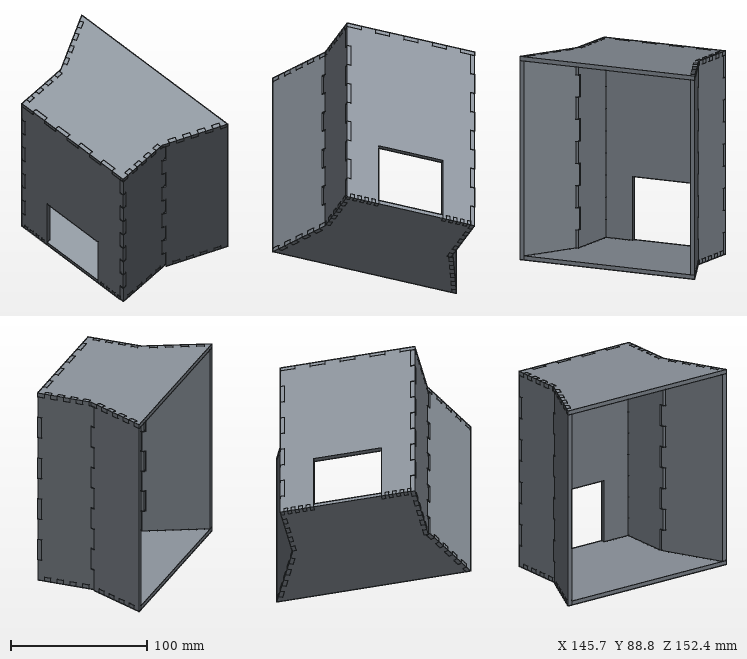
import cadquery as cq
import math

height = 152.4
depth = 88.8
back_width = 145.7
throat_width = 101.2
throat_depth = 42.0
sheet = 3.2

door_width = 50.7
door_top = 50.9

fingers = 9
EVEN = range(0, fingers, 2)
ODD = range(1, fingers, 2)

throat_x = throat_width / 2
back_x = back_width / 2
door_x = door_width / 2
flare_run = depth - throat_depth
flare_angle = math.degrees(math.atan2(back_x - throat_x, flare_run))
flare_length = math.hypot(back_x - throat_x, flare_run)
top_underside = height - sheet

LEFT = -1
RIGHT = 1

cheek_front = {LEFT: 0, RIGHT: 0.3}
cheek_back = {side: front + throat_depth + sheet for side, front in cheek_front.items()}


def box_between(x_span, y_span, z_span):
    """Box filling the given spans along X, Y and Z."""
    size = [span[1] - span[0] for span in (x_span, y_span, z_span)]
    corner = (x_span[0], y_span[0], z_span[0])
    return cq.Workplane("XY").box(*size, centered=False).translate(corner)


def on_side(side, left_shape):
    """Place a shape modelled for the left side on the wanted side."""
    return left_shape if side == LEFT else left_shape.mirror("YZ")


def front_block(x_span, z_span):
    """Block of sheet in the front panel."""
    return box_between(x_span, (0, sheet), z_span)


def cheek_block(side, y_span, z_span):
    """Block of sheet in a straight side panel, placed by its distance from the front."""
    block = box_between((-throat_x, sheet - throat_x), y_span, z_span)
    return on_side(side, block)


def flare_block(side, run_span, z_span):
    """Block of sheet in a flared side panel, placed by its distance along the slope from the bend."""
    block = box_between((0, sheet), run_span, z_span)
    block = block.rotate((0, 0, 0), (0, 0, 1), flare_angle)
    return on_side(side, block.translate((-throat_x, throat_depth, 0)))


def finger_spans(start, stop, chosen):
    """Spans of the chosen fingers on a joint line from start to stop."""
    pitch = (stop - start) / fingers
    return [(start + i * pitch, start + (i + 1) * pitch) for i in chosen]


def cheek_spans(side, start, chosen):
    """Spans of the chosen fingers along a straight side panel, from start to its back tabs."""
    return finger_spans(start, cheek_back[side], chosen)


def cut_all(body, cutters):
    """Remove every cutter from the body."""
    for cutter in cutters:
        body = body.cut(cutter)
    return body


def plate(z_bottom):
    """Uncut top or bottom plate."""
    outline = [
        (-throat_x, 0),
        (throat_x, 0),
        (throat_x, throat_depth),
        (back_x, depth),
        (-back_x, depth),
        (-throat_x, throat_depth),
    ]
    return cq.Workplane("XY").workplane(offset=z_bottom).polyline(outline).close().extrude(sheet)


def make_top_plate():
    level = (top_underside, height)
    notches = [front_block(span, level) for span in finger_spans(-throat_x, throat_x, ODD)]
    for side in (LEFT, RIGHT):
        notches += [cheek_block(side, span, level) for span in cheek_spans(side, cheek_front[side], ODD)]
        notches += [flare_block(side, span, level) for span in finger_spans(0, flare_length, ODD)]
    return cut_all(plate(top_underside), notches)


def make_bottom_plate():
    level = (0, sheet)
    front_spans = finger_spans(-throat_x, -door_x, EVEN) + finger_spans(door_x, throat_x, EVEN)
    notches = [front_block(span, level) for span in front_spans]
    notches += [cheek_block(LEFT, span, level) for span in cheek_spans(LEFT, sheet, ODD)]
    notches += [flare_block(LEFT, span, level) for span in finger_spans(0, flare_length, ODD)]
    notches += [cheek_block(RIGHT, span, level) for span in cheek_spans(RIGHT, cheek_front[RIGHT], EVEN)]
    notches += [flare_block(RIGHT, span, level) for span in finger_spans(sheet, flare_length, EVEN)]
    notches.append(flare_block(RIGHT, (0, sheet), level))
    return cut_all(plate(0), notches)


front_joint = {
    LEFT: finger_spans(0, top_underside, ODD),
    RIGHT: finger_spans(0, top_underside, EVEN),
}
bend_joint = {
    LEFT: finger_spans(sheet, top_underside, ODD),
    RIGHT: finger_spans(0, top_underside, EVEN),
}


def make_cheek(side, plates):
    cheek = cheek_block(side, (sheet, throat_depth), (0, height))
    for z_span in front_joint[side]:
        cheek = cheek.union(cheek_block(side, (cheek_front[side], sheet), z_span))
    for z_span in bend_joint[side]:
        cheek = cheek.union(cheek_block(side, (throat_depth, cheek_back[side]), z_span))
    return cut_all(cheek, plates)


def make_flare(side, plates):
    past_back = flare_length + sheet
    flare = flare_block(side, (0, past_back), (0, height))
    flare = flare.cut(box_between((-back_width, back_width), (depth, depth + past_back), (0, height)))
    tab_gaps = [flare_block(side, (0, sheet), z_span) for z_span in bend_joint[side]]
    return cut_all(flare, tab_gaps + plates)


def make_front(plates):
    front = front_block((-throat_x, throat_x), (0, height))
    front = front.cut(front_block((-door_x, door_x), (0, door_top)))
    for side in (LEFT, RIGHT):
        front = cut_all(front, [cheek_block(side, (0, sheet), z_span) for z_span in front_joint[side]])
    return cut_all(front, plates)


top_plate = make_top_plate()
bottom_plate = make_bottom_plate()
plates = [top_plate, bottom_plate]
cheeks = [make_cheek(side, plates) for side in (LEFT, RIGHT)]
flares = [make_flare(side, plates) for side in (LEFT, RIGHT)]
front_panel = make_front(plates)

panels = [top_plate, bottom_plate, front_panel, *cheeks, *flares]
result = cq.Compound.makeCompound([panel.solids().val() for panel in panels])